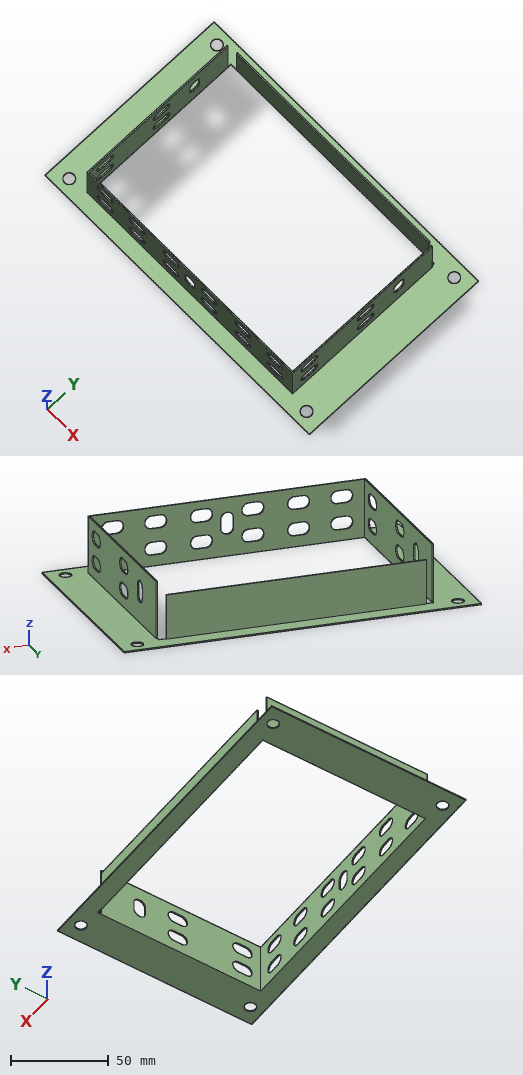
import cadquery as cq

plate_length = 195.0
plate_width = 120.0
total_height = 32.0
sheet = 0.8

frame_length = 151.5
frame_width = 102.0
half_length = frame_length / 2
half_width = frame_width / 2

back_tab_length = 142.0
back_tab_height = 25.0
side_wall_back_gap = 2.7

corner_hole_diameter = 6.5
corner_hole_span_x = 175.1
corner_hole_span_y = 104.7

slot_length = 11.9
slot_width = 7.0
front_slot_rows = (9.5, 24.0)
side_slot_rows = (10.0, 23.4)
upright_slot_z = 18.0

front_slot_offsets = (14.0, 39.0, 62.5)
side_slot_positions = (1.0, -39.0)
side_upright_slot_y = 24.5

FLAT = 0
UPRIGHT = 90


def block(x_min, x_max, y_min, y_max, height):
    """Box standing on the underside of the plate."""
    size_x = x_max - x_min
    size_y = y_max - y_min
    return (
        cq.Workplane("XY")
        .box(size_x, size_y, height, centered=False)
        .translate((x_min, y_min, 0))
    )


def ring(length, width, height):
    """Centred rectangular block with the window inside the walls cut through it."""
    return (
        cq.Workplane("XY")
        .rect(length, width)
        .rect(frame_length - 2 * sheet, frame_width - 2 * sheet)
        .extrude(height)
    )


def slots(plane, row_positions, row_heights, upright_position, depth):
    """Cutter with two rows of flat slots and one upright slot, centred on the given plane."""
    flat_points = [(p, z) for p in row_positions for z in row_heights]
    flat = (
        cq.Workplane(plane)
        .pushPoints(flat_points)
        .slot2D(slot_length, slot_width, FLAT)
        .extrude(depth / 2, both=True)
    )
    upright = (
        cq.Workplane(plane)
        .center(upright_position, upright_slot_z)
        .slot2D(slot_length, slot_width, UPRIGHT)
        .extrude(depth / 2, both=True)
    )
    return flat.union(upright)


plate = ring(plate_length, plate_width, sheet)
corner_holes = (
    cq.Workplane("XY")
    .rect(corner_hole_span_x, corner_hole_span_y, forConstruction=True)
    .vertices()
    .circle(corner_hole_diameter / 2)
    .extrude(sheet)
)
plate = plate.cut(corner_holes)

side_wall_end = half_width - side_wall_back_gap
back_opening = block(-half_length, half_length, side_wall_end, half_width, total_height)
walls = ring(frame_length, frame_width, total_height).cut(back_opening)

front_slot_positions = [side * offset for side in (-1, 1) for offset in front_slot_offsets]
front_slots = slots("XZ", front_slot_positions, front_slot_rows, 0, 2 * sheet)
walls = walls.cut(front_slots.translate((0, -half_width + sheet / 2, 0)))

side_slots = slots("YZ", side_slot_positions, side_slot_rows, side_upright_slot_y, plate_length)
walls = walls.cut(side_slots)

half_tab = back_tab_length / 2
back_tab = block(-half_tab, half_tab, half_width - sheet, half_width, back_tab_height)

result = plate.union(walls).union(back_tab)